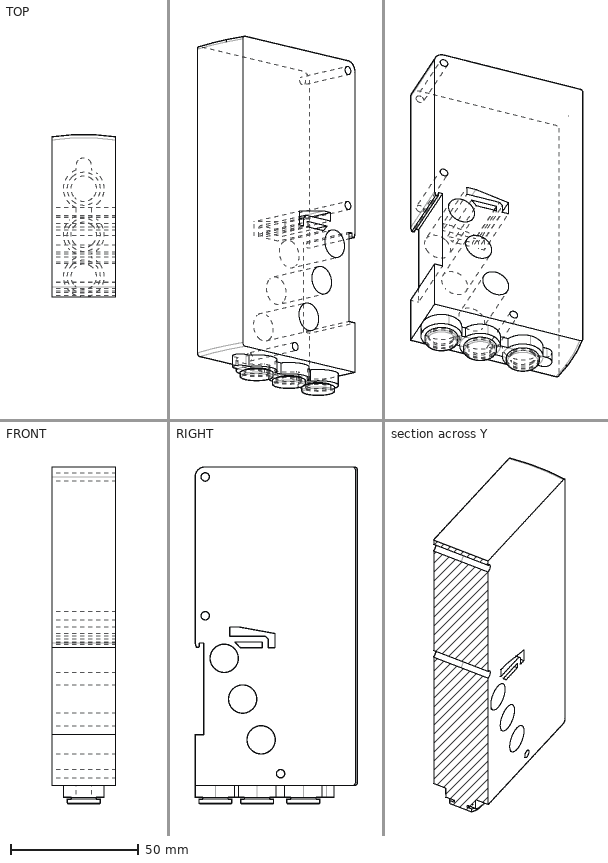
import cadquery as cq

WIDTH = 25.0
DEPTH = 63.88
HEIGHT = 125.2
CROWN_RISE = 0.95
BACK_EDGE_RADIUS = 1.3
TOP_FRONT_RADIUS = 4.0

RECESS_DEPTH = 3.4
RECESS_BOTTOM = 20.0
RECESS_TOP = 56.0
LIP_THICKNESS = 1.7
LIP_DROP = 1.7
LIP_RADIUS = 0.5
LIP_SLOPE_RUN = 0.5

PORT_DIAMETER = 11.0
PORT_COUNT = 3
TOP_PORT = (11.45, 50.0)
PORT_PITCH_Y = 7.25
PORT_PITCH_Z = 16.0
SCREW_DIAMETER = 3.2
SCREW_HOLES = [(4.0, 121.2), (4.0, 66.7), (33.6, 4.7)]

SLOT_BOTTOM = 54.2
LATCH_BACK = 31.3
LATCH_FRONT = 13.7
LATCH_LEG_WIDTH = 2.5
LATCH_BACK_TOP = 59.7
LATCH_TOP = 62.2
LATCH_SLOPE_END = 17.5
LATCH_ARM_BOTTOM = 58.75
LATCH_INNER_CHAMFER = 1.25
RELIEF_BACK = 26.3
RELIEF_TOP = 56.4
RELIEF_FRONT_BOTTOM = 17.75
RELIEF_FRONT_TOP = 15.7

COLLAR_DIAMETER = 16.0
COLLAR_HEIGHT = 4.55
NECK_DIAMETER = 10.0
RING_DIAMETER = 13.0
RING_HEIGHT = 1.8
RING_EDGE_RADIUS = 0.5
FITTING_LENGTH = 7.12
FITTING_POSITIONS = [COLLAR_DIAMETER / 2, 24.4, 42.5]
BAR_WIDTH = 6.0
BAR_BACK = 54.6
ALONG_Y = 90.0


def side_prism(sketch):
    """Extrude a closed YZ outline, drawn on the mid-plane, across the full width."""
    return sketch.extrude(WIDTH / 2, both=True)


def make_housing():
    side_depth = DEPTH - CROWN_RISE
    block = (
        cq.Workplane("XY")
        .moveTo(-WIDTH / 2, 0)
        .lineTo(WIDTH / 2, 0)
        .lineTo(WIDTH / 2, side_depth)
        .threePointArc((0, DEPTH), (-WIDTH / 2, side_depth))
        .close()
        .extrude(HEIGHT)
    )
    block = block.faces("<Y").edges(">Z").fillet(TOP_FRONT_RADIUS)
    return block.faces(">Y").edges("<Z or >Z").fillet(BACK_EDGE_RADIUS)


def make_recess():
    lip_bottom = RECESS_TOP - LIP_DROP
    return side_prism(
        cq.Workplane("YZ")
        .moveTo(0, RECESS_BOTTOM)
        .lineTo(RECESS_DEPTH, RECESS_BOTTOM)
        .lineTo(RECESS_DEPTH, RECESS_TOP)
        .lineTo(LIP_THICKNESS, RECESS_TOP)
        .lineTo(LIP_THICKNESS, lip_bottom + LIP_RADIUS)
        .radiusArc((LIP_THICKNESS - LIP_RADIUS, lip_bottom), LIP_RADIUS)
        .lineTo(LIP_SLOPE_RUN, lip_bottom)
        .lineTo(0, RECESS_TOP)
        .close()
    )


def make_cross_bores():
    ports = [
        (TOP_PORT[0] + i * PORT_PITCH_Y, TOP_PORT[1] - i * PORT_PITCH_Z)
        for i in range(PORT_COUNT)
    ]
    port_bores = side_prism(cq.Workplane("YZ").pushPoints(ports).circle(PORT_DIAMETER / 2))
    screw_bores = side_prism(cq.Workplane("YZ").pushPoints(SCREW_HOLES).circle(SCREW_DIAMETER / 2))
    return port_bores.add(screw_bores).combine()


def make_latch_slot():
    leg_front = LATCH_BACK - LATCH_LEG_WIDTH
    return side_prism(
        cq.Workplane("YZ").polyline([
            (LATCH_BACK, SLOT_BOTTOM),
            (LATCH_BACK, LATCH_BACK_TOP),
            (LATCH_SLOPE_END, LATCH_TOP),
            (LATCH_FRONT, LATCH_TOP),
            (LATCH_FRONT, LATCH_ARM_BOTTOM),
            (leg_front - LATCH_INNER_CHAMFER, LATCH_ARM_BOTTOM),
            (leg_front, LATCH_ARM_BOTTOM - LATCH_INNER_CHAMFER),
            (leg_front, SLOT_BOTTOM),
        ]).close()
    )


def make_relief_slot():
    return side_prism(
        cq.Workplane("YZ").polyline([
            (RELIEF_BACK, SLOT_BOTTOM),
            (RELIEF_BACK, RELIEF_TOP),
            (RELIEF_FRONT_TOP, RELIEF_TOP),
            (RELIEF_FRONT_BOTTOM, SLOT_BOTTOM),
        ]).close()
    )


def make_fitting(y):
    base = cq.Workplane("XY").center(0, y)
    collar = base.circle(COLLAR_DIAMETER / 2).extrude(-COLLAR_HEIGHT)
    neck = base.circle(NECK_DIAMETER / 2).extrude(-FITTING_LENGTH)
    ring = (
        base.workplane(offset=-FITTING_LENGTH)
        .circle(RING_DIAMETER / 2)
        .extrude(RING_HEIGHT)
        .faces("<Z")
        .fillet(RING_EDGE_RADIUS)
    )
    return collar.union(neck).union(ring)


def make_bar():
    """Round-ended bar that joins the collars."""
    bar_front = FITTING_POSITIONS[0]
    bar_length = BAR_BACK - bar_front
    return (
        cq.Workplane("XY")
        .center(0, bar_front + bar_length / 2)
        .slot2D(bar_length, BAR_WIDTH, ALONG_Y)
        .extrude(-COLLAR_HEIGHT)
    )


result = make_housing()
for cutter in (make_recess(), make_cross_bores(), make_latch_slot(), make_relief_slot()):
    result = result.cut(cutter)
result = result.union(make_bar())
for fitting_y in FITTING_POSITIONS:
    result = result.union(make_fitting(fitting_y))